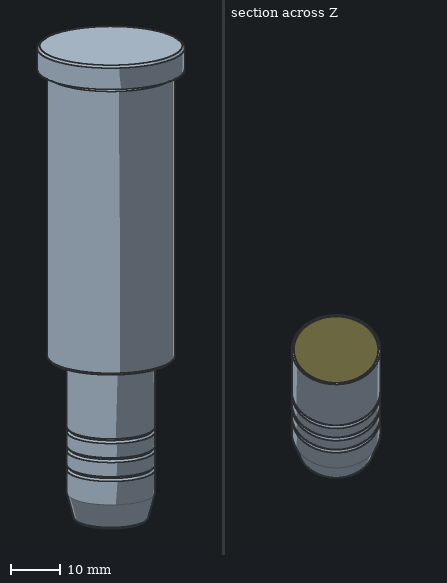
import cadquery as cq

total_height = 100.0
head_radius = 15.0
head_thickness = 5.0
body_radius = 13.0
shank_radius = 9.0
shank_length = 34.0
edge_break = 0.5

tip_radius = 7.6
taper_height = 5.6
tip_chamfer = 0.4

shank_relief_width = 1.0
shank_relief_depth = 0.4

neck_radius = 12.5
neck_length = 0.5

ring_groove_count = 3
ring_groove_width = 1.0
ring_groove_depth = 0.5
ring_groove_pitch = 4.0
lowest_ring_groove = 10.5

head_bottom = total_height - head_thickness


def cylinder(radius, bottom, top):
    return cq.Workplane("XY").workplane(offset=bottom).circle(radius).extrude(top - bottom)


def v_groove(bottom):
    """Triangular ring that cuts a V into the shank surface."""
    section = cq.Workplane("XZ").polyline([
        (shank_radius, bottom),
        (shank_radius - ring_groove_depth, bottom + ring_groove_width / 2),
        (shank_radius, bottom + ring_groove_width),
    ]).close()
    return section.revolve(360, (0, 0, 0), (0, 1, 0))


def make_shank_relief():
    section = cq.Workplane("XY").workplane(offset=shank_length - shank_relief_width)
    section = section.circle(shank_radius).circle(shank_radius - shank_relief_depth)
    return section.extrude(shank_relief_width)


def make_shank():
    outline = (
        cq.Workplane("XZ")
        .lineTo(tip_radius - tip_chamfer, 0)
        .lineTo(tip_radius, tip_chamfer)
        .lineTo(shank_radius, taper_height)
        .lineTo(shank_radius, shank_length)
        .lineTo(0, shank_length)
        .close()
    )
    shank = outline.revolve(360, (0, 0, 0), (0, 1, 0))
    for index in range(ring_groove_count):
        bottom = lowest_ring_groove + index * ring_groove_pitch
        shank = shank.cut(v_groove(bottom))
    return shank.cut(make_shank_relief())


def make_body():
    body_top = head_bottom - neck_length
    body = cylinder(body_radius, shank_length, body_top)
    body = body.faces("<Z or >Z").chamfer(edge_break)
    return body.union(cylinder(neck_radius, body_top, head_bottom))


def make_head():
    head = cylinder(head_radius, head_bottom, total_height)
    return head.faces(">Z").chamfer(edge_break)


result = make_shank().union(make_body()).union(make_head())